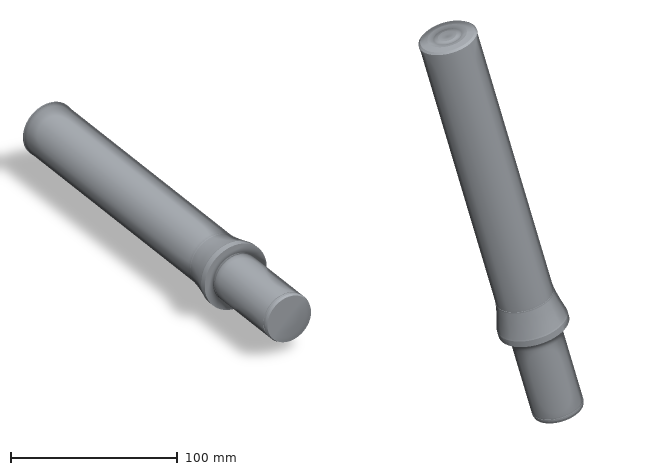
import cadquery as cq

total_length = 272.0
sleeve_diameter = 36.0
lip_diameter = 36.5
flange_diameter = 44.0
spigot_diameter = 32.0
groove_diameter = 31.5

sleeve_start = 2.7
sleeve_end = 189.3
flare_start = 190.0
flange_start = 207.8
spigot_start = 212.0

flare_sag = 0.3
flange_bevel_length = 0.8
flange_bevel_height = 0.3

rim_length = 1.5
rim_face_radius = 17.0
rim_face_x = 0.5
outer_crest_radius = 12.2
valley_radius = 8.7
inner_crest_radius = 5.7
ripple_depth = 0.5

groove_width = 0.8
joint_groove_start = 213.0
end_groove_start = 268.2
end_chamfer_length = 1.5
end_chamfer_height = 0.5

sleeve_radius = sleeve_diameter / 2
lip_radius = lip_diameter / 2
flange_radius = flange_diameter / 2
spigot_radius = spigot_diameter / 2
groove_radius = groove_diameter / 2
core_radius = spigot_radius


def make_tube(start, end, inner_radius, outer_radius):
    """Plain tube along X."""
    return (
        cq.Workplane("YZ", origin=(start, 0, 0))
        .circle(outer_radius)
        .circle(inner_radius)
        .extrude(end - start)
    )


def make_turned_blank():
    """Pin turned about X: rippled head, sleeve seat, flared flange and spigot."""
    flare_end = flange_start - flange_bevel_length
    flare_end_radius = flange_radius - flange_bevel_height
    flare_mid_x = (flare_start + flare_end) / 2
    flare_mid_radius = (lip_radius + flare_end_radius) / 2 - flare_sag
    profile = (
        cq.Workplane("XY")
        .moveTo(ripple_depth, 0)
        .lineTo(0, inner_crest_radius)
        .lineTo(ripple_depth, valley_radius)
        .lineTo(0, outer_crest_radius)
        .lineTo(rim_face_x, rim_face_radius)
        .lineTo(rim_length, lip_radius)
        .lineTo(sleeve_start, lip_radius)
        .lineTo(sleeve_start, core_radius)
        .lineTo(sleeve_end, core_radius)
        .lineTo(sleeve_end, lip_radius)
        .lineTo(flare_start, lip_radius)
        .threePointArc((flare_mid_x, flare_mid_radius), (flare_end, flare_end_radius))
        .lineTo(flange_start, flange_radius)
        .lineTo(spigot_start, flange_radius)
        .lineTo(spigot_start, spigot_radius)
        .lineTo(total_length - end_chamfer_length, spigot_radius)
        .lineTo(total_length, spigot_radius - end_chamfer_height)
        .lineTo(total_length, 0)
        .close()
    )
    return profile.revolve(360, (0, 0, 0), (1, 0, 0))


def make_pin():
    """Turned pin with a shallow ring groove near each end of the spigot."""
    pin = make_turned_blank()
    for start in (joint_groove_start, end_groove_start):
        pin = pin.cut(make_tube(start, start + groove_width, groove_radius, flange_radius))
    return pin


def make_sleeve():
    """Cover tube seated between the two lips of the pin."""
    return make_tube(sleeve_start, sleeve_end, core_radius, sleeve_radius)


pin = make_pin()
sleeve = make_sleeve()

result = cq.Compound.makeCompound([pin.val(), sleeve.val()])